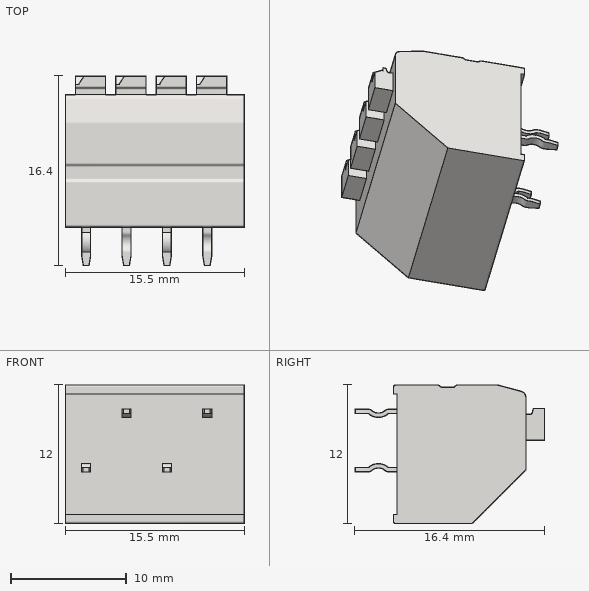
import cadquery as cq
import math


POLES = 4
PITCH = 3.5

WIDTH = 15.5
HEIGHT = 12.0
DEPTH = 11.48
FOOT_DEPTH = 0.31
FOOT_HEIGHT = 0.8
FOOT_ROUND = 0.2
BOTTOM_CHAMFER = 4.65
RAMP_LENGTH = 2.46
RAMP_ANGLE = 15
RAMP_TOP_ROUND = 0.5
RAMP_BACK_ROUND = 0.59

GROOVE_CENTRE = 4.69
GROOVE_DEPTH = 0.2
GROOVE_MEAN_WIDTH = 1.35
GROOVE_ROUND = 0.2

BUTTON_WIDTH = 2.62
BUTTON_LENGTH = 1.6
BUTTON_BOTTOM = 7.22
BUTTON_TOP = 9.97
BUTTON_FIRST_X = 2.18 - WIDTH / 2
STEP_DROP = 0.5
STEP_FROM_TIP = 0.98
STEP_WALL_TILT = 15
STEP_ROUND = 0.11
NOTCH_DEPTH = 0.72
NOTCH_WIDTH_TIP = 0.75
NOTCH_WIDTH_END = 0.28
NOTCH_DROP_TIP = 0.74
NOTCH_DROP_END = 0.31
NOTCH_UNDERCUT = 0.43

PIN_THICKNESS = 0.4
PIN_WIDTH = 0.79
PIN_TIP_WIDTH = 0.51
PIN_REACH = 3.31
PIN_TAPER_LENGTH = 0.82
PIN_FIRST_X = 1.8 - WIDTH / 2
LOW_ROW_Z = 4.67
ROW_SPACING = 5.03
BEND_CENTRE = 1.3
BEND_RISE = 0.33
BEND_HALF = 0.89
BEND_ARC_HALF = 0.57

EMBED = 0.16
PICK_MARGIN = 0.02

button_tip = DEPTH + BUTTON_LENGTH


def tan_deg(angle):
    return math.tan(math.radians(angle))


def extrude_along_x(profile, width):
    """Extrude a YZ sketch symmetrically about X = 0."""
    return profile.extrude(width / 2, both=True)


def round_edges(solid, points, radius):
    """Fillet the edges parallel to X that pass through the given (Y, Z) points."""
    for y, z in points:
        lower = (-WIDTH, y - PICK_MARGIN, z - PICK_MARGIN)
        upper = (WIDTH, y + PICK_MARGIN, z + PICK_MARGIN)
        edge = solid.edges("|X").edges(cq.selectors.BoxSelector(lower, upper))
        solid = edge.fillet(radius)
    return solid


def make_housing():
    ramp_top = (DEPTH - RAMP_LENGTH, HEIGHT)
    ramp_back = (DEPTH, HEIGHT - RAMP_LENGTH * tan_deg(RAMP_ANGLE))
    half_top = (GROOVE_MEAN_WIDTH + GROOVE_DEPTH) / 2
    half_floor = (GROOVE_MEAN_WIDTH - GROOVE_DEPTH) / 2
    groove = [
        (GROOVE_CENTRE - half_top, HEIGHT),
        (GROOVE_CENTRE - half_floor, HEIGHT - GROOVE_DEPTH),
        (GROOVE_CENTRE + half_floor, HEIGHT - GROOVE_DEPTH),
        (GROOVE_CENTRE + half_top, HEIGHT),
    ]
    foot_corners = [(0, 0), (0, HEIGHT)]
    outline = [
        foot_corners[0],
        (0, FOOT_HEIGHT),
        (FOOT_DEPTH, FOOT_HEIGHT),
        (FOOT_DEPTH, HEIGHT - FOOT_HEIGHT),
        (0, HEIGHT - FOOT_HEIGHT),
        foot_corners[1],
        *groove,
        ramp_top,
        ramp_back,
        (DEPTH, BOTTOM_CHAMFER),
        (DEPTH - BOTTOM_CHAMFER, 0),
    ]
    housing = extrude_along_x(cq.Workplane("YZ").polyline(outline).close(), WIDTH)
    housing = round_edges(housing, foot_corners, FOOT_ROUND)
    housing = round_edges(housing, groove, GROOVE_ROUND)
    housing = round_edges(housing, [ramp_top], RAMP_TOP_ROUND)
    return round_edges(housing, [ramp_back], RAMP_BACK_ROUND)


def make_button():
    """One push button, centred on X = 0."""
    step_top = (button_tip - STEP_FROM_TIP, BUTTON_TOP)
    step_bottom = (step_top[0] - STEP_DROP * tan_deg(STEP_WALL_TILT), BUTTON_TOP - STEP_DROP)
    outline = [
        (DEPTH - EMBED, BUTTON_BOTTOM),
        (button_tip, BUTTON_BOTTOM),
        (button_tip, BUTTON_TOP),
        step_top,
        step_bottom,
        (DEPTH - EMBED, step_bottom[1]),
    ]
    button = extrude_along_x(cq.Workplane("YZ").polyline(outline).close(), BUTTON_WIDTH)
    button = round_edges(button, [step_top, step_bottom], STEP_ROUND)
    return button.cut(make_notch())


def make_notch():
    """Cutter for the button's upper -X corner: an undercut slanting wall over a sloping floor."""
    side = -BUTTON_WIDTH / 2
    notch_end = button_tip - NOTCH_DEPTH

    def plan_at(undercut):
        return [
            (side, button_tip),
            (side + NOTCH_WIDTH_TIP + undercut, button_tip),
            (side + NOTCH_WIDTH_END + undercut, notch_end),
            (side, notch_end),
        ]

    plan = (
        cq.Workplane("XY", origin=(0, 0, BUTTON_TOP - NOTCH_DROP_TIP))
        .polyline(plan_at(NOTCH_UNDERCUT))
        .close()
        .workplane(offset=NOTCH_DROP_TIP)
        .polyline(plan_at(0))
        .close()
        .loft(ruled=True)
    )
    above_floor = extrude_along_x(
        cq.Workplane("YZ")
        .polyline([
            (button_tip, BUTTON_TOP),
            (button_tip, BUTTON_TOP - NOTCH_DROP_TIP),
            (notch_end, BUTTON_TOP - NOTCH_DROP_END),
            (notch_end, BUTTON_TOP),
        ])
        .close(),
        BUTTON_WIDTH,
    )
    return plan.intersect(above_floor)


def make_pin(bend_direction):
    """One pin centred on X = 0, Z = 0, its bend going up (1) or down (-1)."""
    root = FOOT_DEPTH + EMBED
    convex = bend_direction * PIN_THICKNESS / 2
    hollow = -convex
    rise = bend_direction * BEND_RISE

    slope_angle = 2 * math.atan(BEND_RISE / BEND_HALF)
    hollow_radius = BEND_ARC_HALF / math.sin(slope_angle)
    blend_rise = rise - bend_direction * hollow_radius * (1 - math.cos(slope_angle))

    convex_radius = hollow_radius + PIN_THICKNESS
    convex_half = math.sqrt(convex_radius**2 - (convex_radius - BEND_RISE) ** 2)

    profile = (
        cq.Workplane("YZ")
        .moveTo(root, convex)
        .lineTo(-BEND_CENTRE + convex_half, convex)
        .threePointArc((-BEND_CENTRE, convex + rise), (-BEND_CENTRE - convex_half, convex))
        .lineTo(-PIN_REACH, convex)
        .lineTo(-PIN_REACH, hollow)
        .lineTo(-BEND_CENTRE - BEND_HALF, hollow)
        .tangentArcPoint((-BEND_CENTRE - BEND_ARC_HALF, hollow + blend_rise), relative=False)
        .threePointArc(
            (-BEND_CENTRE, hollow + rise),
            (-BEND_CENTRE + BEND_ARC_HALF, hollow + blend_rise),
        )
        .tangentArcPoint((-BEND_CENTRE + BEND_HALF, hollow), relative=False)
        .lineTo(root, hollow)
        .close()
    )
    strip = extrude_along_x(profile, PIN_WIDTH)
    taper_start = PIN_TAPER_LENGTH - PIN_REACH
    plan = (
        cq.Workplane("XY")
        .polyline([
            (-PIN_WIDTH / 2, root),
            (-PIN_WIDTH / 2, taper_start),
            (-PIN_TIP_WIDTH / 2, -PIN_REACH),
            (PIN_TIP_WIDTH / 2, -PIN_REACH),
            (PIN_WIDTH / 2, taper_start),
            (PIN_WIDTH / 2, root),
        ])
        .close()
        .extrude(PIN_THICKNESS + BEND_RISE, both=True)
    )
    return strip.intersect(plan)


low_pin = make_pin(1).translate((0, 0, LOW_ROW_Z))
high_pin = make_pin(-1).translate((0, 0, LOW_ROW_Z + ROW_SPACING))
button = make_button()

result = make_housing()
for pole in range(POLES):
    pin = low_pin if pole % 2 == 0 else high_pin
    result = result.union(pin.translate((PIN_FIRST_X + pole * PITCH, 0, 0)))
    result = result.union(button.translate((BUTTON_FIRST_X + pole * PITCH, 0, 0)))